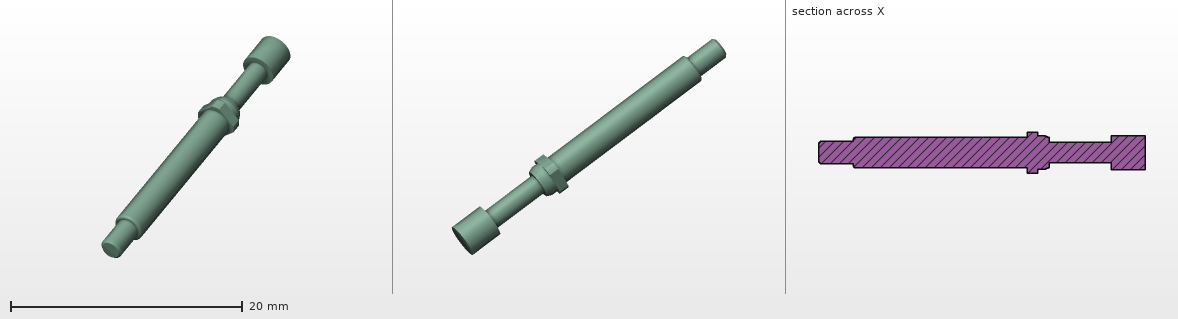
import cadquery as cq

total_length = 28.3

head_diameter = 3.0
head_length = 3.0
stem_diameter = 1.85
stem_length = 5.3

collar_diameter = 2.97
taper_small_diameter = 2.6
taper_length = 0.45
collar_straight_length = 0.57

flange_diameter = 3.6
flange_across_flats = 3.0
flange_thickness = 0.93

barrel_diameter = 2.7
barrel_fillet = 0.23
tail_diameter = 2.0
tail_length = 3.0
tail_chamfer = 0.2

head_end = total_length / 2
stem_start = head_end - head_length
taper_start = stem_start - stem_length
collar_start = taper_start - taper_length
flange_start = collar_start - collar_straight_length
barrel_start = flange_start - flange_thickness
tail_end = -total_length / 2
tail_start = tail_end + tail_length


def section_plane(y):
    """Plane across the part axis at station y, facing -Y."""
    return cq.Workplane("XZ", origin=(0, y, 0))


def round_bar(diameter, y_start, y_end):
    """Cylinder on the part axis from y_start down to y_end."""
    return section_plane(y_start).circle(diameter / 2).extrude(y_start - y_end)


def make_plunger():
    head = round_bar(head_diameter, head_end, stem_start)
    stem = round_bar(stem_diameter, stem_start, taper_start)
    return head.union(stem)


def make_collar():
    straight = round_bar(collar_diameter, collar_start, flange_start)
    taper = (
        section_plane(taper_start)
        .circle(taper_small_diameter / 2)
        .workplane(offset=taper_length)
        .circle(collar_diameter / 2)
        .loft(ruled=True)
    )
    return taper.union(straight)


def make_flange():
    disc = round_bar(flange_diameter, flange_start, barrel_start)
    square = (
        section_plane(flange_start)
        .transformed(rotate=(0, 0, 45))
        .rect(flange_across_flats, flange_across_flats)
        .extrude(flange_thickness)
    )
    return disc.intersect(square)


def make_barrel():
    barrel = round_bar(barrel_diameter, barrel_start, tail_start)
    return barrel.faces("<Y").fillet(barrel_fillet)


def make_tail():
    tail = round_bar(tail_diameter, tail_start, tail_end)
    return tail.faces("<Y").chamfer(tail_chamfer)


result = make_plunger()
for section in (make_collar(), make_flange(), make_barrel(), make_tail()):
    result = result.union(section)